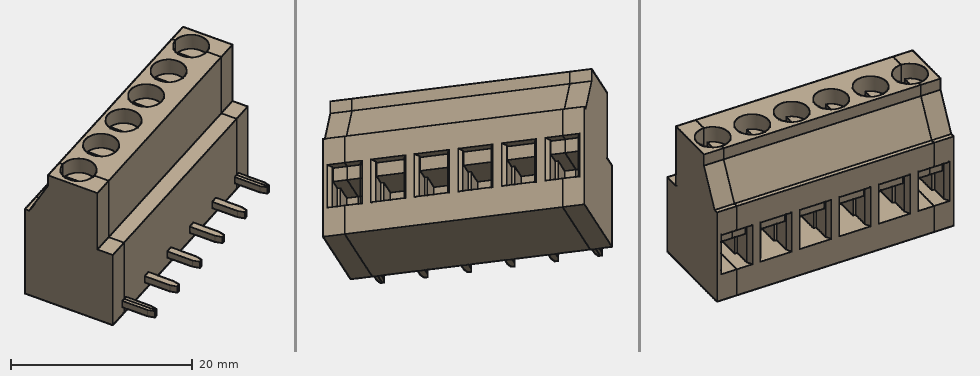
import cadquery as cq


length = 30.0
pole_count = 6
pitch = length / pole_count
end_length = pitch / 2

height = 18.0
base_depth = 11.2
base_height = 10.0
top_back = 9.25
ledge_width = 0.55
ledge_height = 12.0
slope_top_x = 2.95
slope_top_z = 16.5

screw_x = 5.4
screw_diameter = 4.0
screw_recess = 2.0
driver_slot_width = 0.85
driver_slot_depth = 0.5

entry_floor = 3.5
entry_top = 8.75
entry_mouth_width = 4.0
entry_width = 3.25
splay_depth = 0.65
lintel_x = 1.0
inner_top = 7.1
inner_x = 2.75
inner_width = 2.58
inner_end = 5.4

pin_length = 4.02
pin_width = 0.85
pin_bottom = 1.1
pin_thickness = 0.9
pin_tip_length = 0.8
pin_tip_width = 0.42


def pole_position(index):
    """Y of the centre of a pole."""
    return (index + 0.5) * pitch


def housing_blank():
    """Stepped profile with a sloped front, extruded along the row."""
    return (
        cq.Workplane("XZ")
        .polyline([
            (0, 0),
            (base_depth, 0),
            (base_depth, base_height),
            (top_back, base_height),
            (top_back, height),
            (slope_top_x, height),
            (slope_top_x, slope_top_z),
            (ledge_width, ledge_height),
            (0, ledge_height),
        ])
        .close()
        .extrude(-length)
    )


def screw_opening(y):
    """Round recess over the screw, with the driver slot sunk in its floor."""
    recess_floor = height - screw_recess
    opening = (
        cq.Workplane("XY", origin=(screw_x, y, recess_floor - driver_slot_depth))
        .circle(screw_diameter / 2)
        .extrude(screw_recess + driver_slot_depth)
    )
    slot_band = (
        cq.Workplane("XY", origin=(screw_x, y, recess_floor - driver_slot_depth))
        .rect(screw_diameter, driver_slot_width)
        .extrude(driver_slot_depth)
    )
    recess = (
        cq.Workplane("XY", origin=(screw_x, y, recess_floor))
        .circle(screw_diameter / 2)
        .extrude(screw_recess)
    )
    return recess.union(opening.intersect(slot_band))


def entry_box(y, end_x, width, top):
    """Straight passage of the given width from the front face to end_x."""
    return (
        cq.Workplane("XY", origin=(0, y, entry_floor))
        .box(end_x, width, top - entry_floor, centered=(False, True, False))
    )


def wire_entry(y):
    """Wire entry with a splayed mouth, a dropped ceiling and a narrower inner end."""
    mouth = (
        cq.Workplane("XY", origin=(0, y, entry_floor))
        .polyline([
            (0, -entry_mouth_width / 2),
            (splay_depth, -entry_width / 2),
            (splay_depth, entry_width / 2),
            (0, entry_mouth_width / 2),
        ])
        .close()
        .extrude(entry_top - entry_floor)
    )
    return (
        mouth
        .union(entry_box(y, lintel_x, entry_width, entry_top))
        .union(entry_box(y, inner_x, entry_width, inner_top))
        .union(entry_box(y, inner_end, inner_width, inner_top))
    )


def solder_pin(y):
    """Flat pin on the back face, tapered in width at its tip."""
    taper_start = pin_length - pin_tip_length
    return (
        cq.Workplane("XY", origin=(base_depth, y, pin_bottom))
        .polyline([
            (0, -pin_width / 2),
            (taper_start, -pin_width / 2),
            (pin_length, -pin_tip_width / 2),
            (pin_length, pin_tip_width / 2),
            (taper_start, pin_width / 2),
            (0, pin_width / 2),
        ])
        .close()
        .extrude(pin_thickness)
    )


def full_row():
    """Housing over the whole row with every pole's openings and pin."""
    row = housing_blank()
    for index in range(pole_count):
        y = pole_position(index)
        row = row.cut(screw_opening(y)).cut(wire_entry(y)).union(solder_pin(y))
    return row


def section(row, start, size):
    """Piece of the row from Y = start over the given length."""
    total_depth = base_depth + pin_length
    slab = (
        cq.Workplane("XY", origin=(0, start, 0))
        .box(total_depth, size, height, centered=False)
    )
    return row.intersect(slab, clean=False).solids()


row = full_row()

middle_section = section(row, end_length, length - 2 * end_length)
end_sections = [section(row, start, end_length) for start in (0, length - end_length)]

result = cq.Compound.makeCompound([
    middle_section.val(),
    *[end.val() for end in end_sections],
])